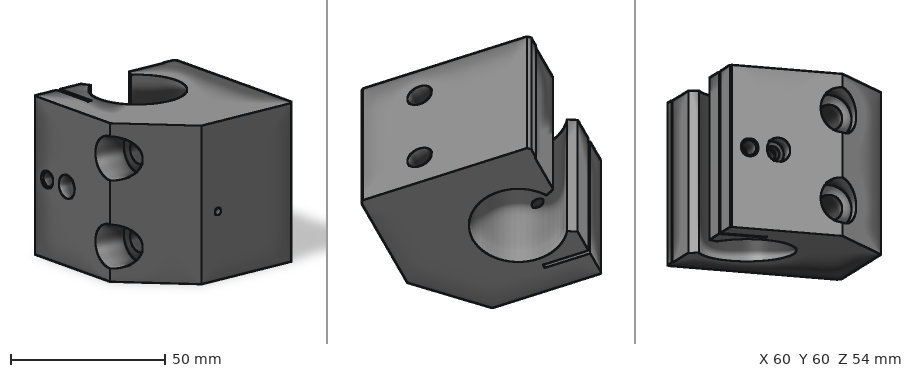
import cadquery as cq
import math

width = 60.0
depth = 60.0
height = 54.0
mid_height = height / 2
corner_cut = 21.0
rear_chamfer = 1.0
front_chamfer = 0.5
pad_length = 5.0
pad_step = 0.35

bore_x = 17.0
bore_y = depth / 2
bore_radius = 16.0
mouth_half_width = 10.1
mouth_tip_half_width = 8.5
mouth_tip_x = bore_x - math.sqrt(bore_radius**2 - mouth_tip_half_width**2)

slot_end_x = 16.45
slot_front_y = 9.55
slot_width = 1.45
slot_rear_y = slot_front_y + slot_width

mount_x = width - corner_cut
mount_spacing = 30.0
mount_diameter = 8.6
mount_counterbore_diameter = 15.0
mount_counterbore_depth = 12.0

clamp_counterbore_diameter = 8.0
clamp_counterbore_depth = 6.0
clamp_clearance_diameter = 4.9
clamp_thread_diameter = 4.15

jack_x = 7.0
jack_diameter = 4.9
jack_mouth_diameter = 6.0
jack_countersink_depth = (jack_mouth_diameter - jack_diameter) / 2

oil_diameter = 2.5
oil_y = 28.0
oil_z = 23.4


def make_body():
    """Extruded block outline with the open bore, mouth and slot."""
    return (
        cq.Workplane("XY")
        .moveTo(pad_step + front_chamfer, 0)
        .lineTo(width - corner_cut, 0)
        .lineTo(width, corner_cut)
        .lineTo(width, depth - rear_chamfer)
        .lineTo(width - rear_chamfer, depth)
        .lineTo(rear_chamfer, depth)
        .lineTo(0, depth - rear_chamfer)
        .lineTo(0, depth - pad_length)
        .lineTo(pad_step, depth - pad_length)
        .lineTo(pad_step, bore_y + mouth_half_width)
        .lineTo(mouth_tip_x, bore_y + mouth_tip_half_width)
        .threePointArc(
            (bore_x + bore_radius, bore_y),
            (mouth_tip_x, bore_y - mouth_tip_half_width),
        )
        .lineTo(pad_step, bore_y - mouth_half_width)
        .lineTo(pad_step, slot_rear_y)
        .lineTo(slot_end_x, slot_rear_y)
        .lineTo(slot_end_x, slot_front_y)
        .lineTo(pad_step, slot_front_y)
        .lineTo(pad_step, front_chamfer)
        .close()
        .extrude(height)
    )


def front_drill(x, z, diameter, end_y):
    """Cylinder along +Y from the front face to end_y."""
    return cq.Workplane("XZ", origin=(x, 0, z)).circle(diameter / 2).extrude(-end_y)


def mounting_hole(z):
    through = front_drill(mount_x, z, mount_diameter, depth)
    counterbore = front_drill(mount_x, z, mount_counterbore_diameter, mount_counterbore_depth)
    return through.union(counterbore)


def clamp_hole():
    counterbore = front_drill(
        bore_x, mid_height, clamp_counterbore_diameter, clamp_counterbore_depth
    )
    clearance = front_drill(bore_x, mid_height, clamp_clearance_diameter, slot_front_y)
    thread = front_drill(bore_x, mid_height, clamp_thread_diameter, bore_y)
    return counterbore.union(clearance).union(thread)


def jack_hole():
    drill = front_drill(jack_x, mid_height, jack_diameter, slot_rear_y)
    countersink = (
        cq.Workplane("XZ", origin=(jack_x, 0, mid_height))
        .circle(jack_mouth_diameter / 2)
        .workplane(offset=-jack_countersink_depth)
        .circle(jack_diameter / 2)
        .loft()
    )
    return drill.union(countersink)


def oil_hole():
    return (
        cq.Workplane("YZ", origin=(bore_x, oil_y, oil_z))
        .circle(oil_diameter / 2)
        .extrude(width - bore_x)
    )


result = make_body()
for side in (-1, 1):
    result = result.cut(mounting_hole(mid_height + side * mount_spacing / 2))
result = result.cut(clamp_hole()).cut(jack_hole()).cut(oil_hole())